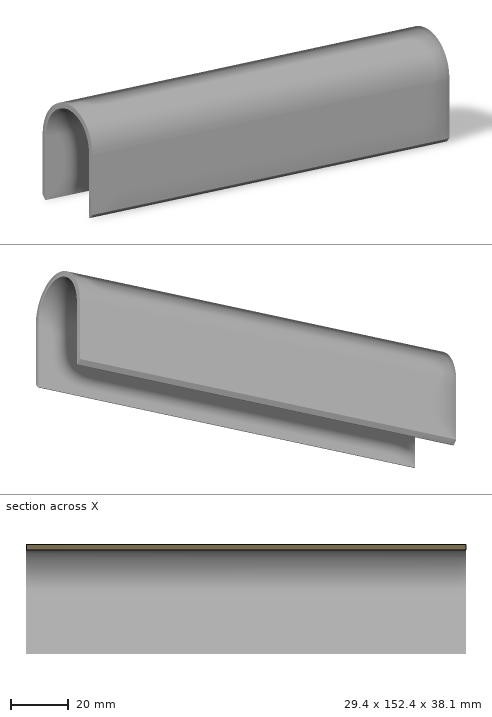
import cadquery as cq

length = 152.4
width = 29.4
height = 38.1
wall = 2.0
bevel = 1.5

outer_radius = width / 2
inner_radius = outer_radius - wall
spring_z = height - outer_radius

profile = (
    cq.Workplane("XZ", origin=(0, length / 2, 0))
    .moveTo(-outer_radius, bevel)
    .lineTo(-outer_radius, spring_z)
    .threePointArc((0, height), (outer_radius, spring_z))
    .lineTo(outer_radius, bevel)
    .lineTo(outer_radius - bevel, 0)
    .lineTo(inner_radius, 0)
    .lineTo(inner_radius, spring_z)
    .threePointArc((0, height - wall), (-inner_radius, spring_z))
    .lineTo(-inner_radius, 0)
    .lineTo(-outer_radius + bevel, 0)
    .close()
)

result = profile.extrude(length)